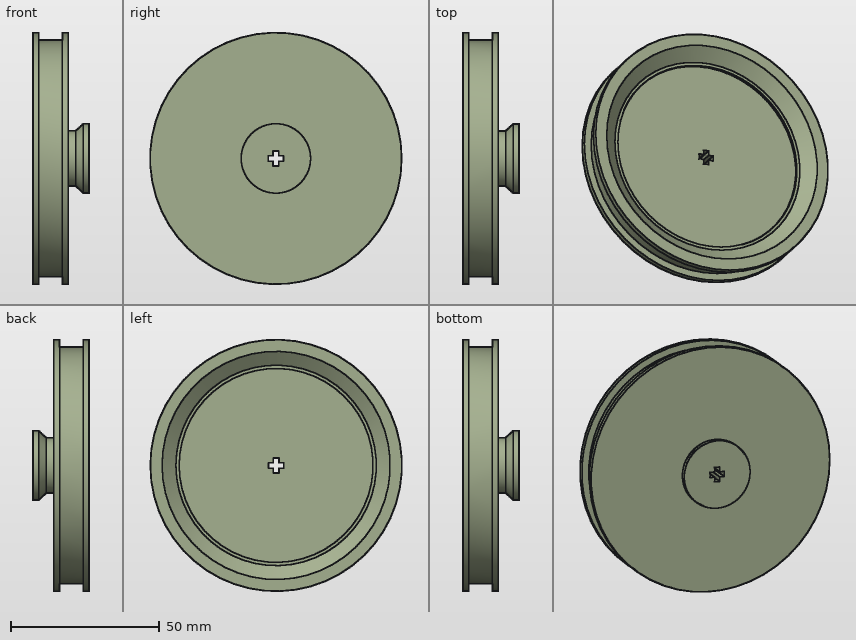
import cadquery as cq

rim_diameter = 85.0
total_length = 19.0

rim_width = 12.0
flange_width = 2.0
groove_depth = 2.5

hub_lip_diameter = 23.5
hub_lip_width = 2.0
hub_neck_diameter = 18.7
hub_neck_length = 2.5

recess_mouth_diameter = 77.0
recess_base_diameter = 67.7
recess_depth = 4.0
pocket_diameter = 65.45
pocket_depth = 1.0

axle_span = 5.0
axle_arm_width = 1.8


def build_body():
    """Revolve the rim, hub and front recess as a single profile (X along, Y radial)."""
    rim_radius = rim_diameter / 2
    groove_radius = rim_radius - groove_depth
    neck_end = rim_width + hub_neck_length
    lip_start = total_length - hub_lip_width
    floor_x = recess_depth + pocket_depth
    profile = [
        (floor_x, 0),
        (floor_x, pocket_diameter / 2),
        (recess_depth, pocket_diameter / 2),
        (recess_depth, recess_base_diameter / 2),
        (0, recess_mouth_diameter / 2),
        (0, rim_radius),
        (flange_width, rim_radius),
        (flange_width, groove_radius),
        (rim_width - flange_width, groove_radius),
        (rim_width - flange_width, rim_radius),
        (rim_width, rim_radius),
        (rim_width, hub_neck_diameter / 2),
        (neck_end, hub_neck_diameter / 2),
        (lip_start, hub_lip_diameter / 2),
        (total_length, hub_lip_diameter / 2),
        (total_length, 0),
    ]
    return cq.Workplane("XY").polyline(profile).close().revolve(360, (0, 0, 0), (1, 0, 0))


def build_axle_hole(length):
    """Two crossed bars running along X."""
    centred_in_yz = (False, True, True)
    flat_bar = cq.Workplane("XY").box(length, axle_span, axle_arm_width, centered=centred_in_yz)
    upright_bar = cq.Workplane("XY").box(length, axle_arm_width, axle_span, centered=centred_in_yz)
    return flat_bar.union(upright_bar)


result = build_body().cut(build_axle_hole(total_length))